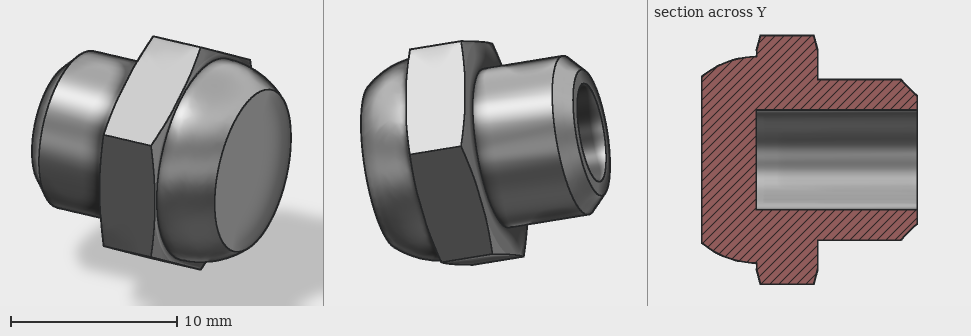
import cadquery as cq
import math

total_length = 13.0
hex_corners = 15.0
spigot_length = 6.0
spigot_diameter = 9.7
spigot_chamfer = 1.0
bore_diameter = 6.0
hex_thickness = 3.7
hex_face_diameter = 13.18
hex_chamfer_angle = 15.0
dome_base_diameter = 12.45
dome_end_diameter = 10.0

hex_end = spigot_length + hex_thickness
dome_length = total_length - hex_end
bore_depth = hex_end


def revolve_about_x(profile):
    """Turn a closed (X, radius) profile around the part axis."""
    return profile.close().revolve(360, (0, 0, 0), (1, 0, 0))


def make_spigot():
    spigot = cq.Workplane("YZ").circle(spigot_diameter / 2).extrude(spigot_length)
    return spigot.faces("<X").chamfer(spigot_chamfer)


def make_hexagon():
    """Hexagon with corners on +Z and -Z, both ends turned to a shallow cone."""
    corner_radius = hex_corners / 2
    face_radius = hex_face_diameter / 2
    chamfer_length = (corner_radius - face_radius) * math.tan(math.radians(hex_chamfer_angle))
    prism = (
        cq.Workplane("YZ", origin=(spigot_length, 0, 0))
        .transformed(rotate=(0, 0, 90))
        .polygon(6, hex_corners)
        .extrude(hex_thickness)
    )
    envelope = revolve_about_x(
        cq.Workplane("XY")
        .moveTo(spigot_length, 0)
        .lineTo(spigot_length, face_radius)
        .lineTo(spigot_length + chamfer_length, corner_radius)
        .lineTo(hex_end - chamfer_length, corner_radius)
        .lineTo(hex_end, face_radius)
        .lineTo(hex_end, 0)
    )
    return prism.intersect(envelope)


def make_dome():
    """Rounded head whose arc leaves the hexagon parallel to the axis."""
    base_radius = dome_base_diameter / 2
    end_radius = dome_end_diameter / 2
    drop = base_radius - end_radius
    arc_radius = (dome_length**2 + drop**2) / (2 * drop)
    half_sweep = math.asin(dome_length / arc_radius) / 2
    dome_middle = (
        hex_end + arc_radius * math.sin(half_sweep),
        base_radius - arc_radius * (1 - math.cos(half_sweep)),
    )
    return revolve_about_x(
        cq.Workplane("XY")
        .moveTo(hex_end, 0)
        .lineTo(hex_end, base_radius)
        .threePointArc(dome_middle, (total_length, end_radius))
        .lineTo(total_length, 0)
    )


def make_bore():
    return cq.Workplane("YZ").circle(bore_diameter / 2).extrude(bore_depth)


result = make_spigot().union(make_hexagon()).union(make_dome()).cut(make_bore())